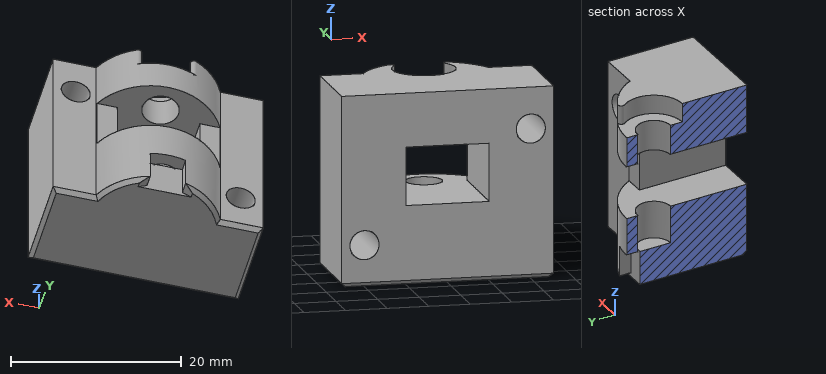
import cadquery as cq
import math

width = 25.5
height = 23.0
block_depth = 11.5
bottom_chamfer = 0.5

total_depth = 16.22
dome_half_width = 7.52
dome_rise = total_depth - block_depth
dome_radius = (dome_half_width**2 + dome_rise**2) / (2 * dome_rise)

window_width = 10.0
window_height = 6.99
window_center_z = 13.0
gap_floor_y = block_depth + 0.15

mount_diameter = 3.5
mount_offset_x = 10.0
mount_low_z = 5.0
mount_high_z = 18.0

bore_center_y = block_depth + 1.02
bore_diameter = 4.39
seat_radius = 3.77
seat_depth = 2.5
horn_fillet = 0.43

notch_width = 4.28
notch_depth = 4.55
notch_flare = 1.07
notch_floor_y = block_depth + 2.93


def make_body():
    """Block and dome in one profile, chamfered around the bottom."""
    return (
        cq.Workplane("XY")
        .moveTo(-width / 2, 0)
        .lineTo(width / 2, 0)
        .lineTo(width / 2, block_depth)
        .lineTo(dome_half_width, block_depth)
        .threePointArc((0, total_depth), (-dome_half_width, block_depth))
        .lineTo(-width / 2, block_depth)
        .close()
        .extrude(height)
        .faces("<Z")
        .chamfer(bottom_chamfer)
    )


def make_window():
    """Opening through the block, widened to a full gap across the dome."""
    opening = cq.Workplane("XY").box(window_width, total_depth, window_height, centered=(True, False, True))
    gap = (
        cq.Workplane("XY")
        .box(width, total_depth - gap_floor_y, window_height, centered=(True, False, True))
        .translate((0, gap_floor_y, 0))
    )
    return opening.union(gap).translate((0, 0, window_center_z))


def make_mount_hole(x, z):
    """Round hole along Y, through the whole depth."""
    return cq.Workplane("XZ", origin=(x, 0, z)).circle(mount_diameter / 2).extrude(-total_depth)


def make_seat():
    """Round seat whose mouth flares into the dome through rounded horn tips."""
    dome_center_y = total_depth - dome_radius
    center_distance = bore_center_y - dome_center_y

    to_dome = dome_radius - horn_fillet
    to_seat = seat_radius + horn_fillet
    rise = (to_dome**2 - to_seat**2 + center_distance**2) / (2 * center_distance)
    tip_x = math.sqrt(to_dome**2 - rise**2)
    tip_y = dome_center_y + rise

    seat_x = tip_x * seat_radius / to_seat
    seat_y = bore_center_y + (tip_y - bore_center_y) * seat_radius / to_seat
    rim_x = tip_x * dome_radius / to_dome
    rim_y = dome_center_y + rise * dome_radius / to_dome
    inner_x = tip_x - horn_fillet
    mouth_y = total_depth + horn_fillet

    return (
        cq.Workplane("XY", origin=(0, 0, height - seat_depth))
        .moveTo(rim_x, rim_y)
        .threePointArc((inner_x, tip_y), (seat_x, seat_y))
        .threePointArc((0, bore_center_y - seat_radius), (-seat_x, seat_y))
        .threePointArc((-inner_x, tip_y), (-rim_x, rim_y))
        .lineTo(-rim_x, mouth_y)
        .lineTo(rim_x, mouth_y)
        .close()
        .extrude(seat_depth)
    )


def make_bore():
    """Vertical hole from the top down to the notch."""
    return (
        cq.Workplane("XY", origin=(0, bore_center_y, notch_depth))
        .circle(bore_diameter / 2)
        .extrude(height - notch_depth)
    )


def make_notch():
    """Notch in the lower end of the dome, its sides flaring out over the chamfer."""
    mouth_half_width = notch_width / 2 + notch_flare
    return (
        cq.Workplane("XZ", origin=(0, notch_floor_y, 0))
        .moveTo(-mouth_half_width, 0)
        .lineTo(mouth_half_width, 0)
        .lineTo(notch_width / 2, bottom_chamfer)
        .lineTo(notch_width / 2, notch_depth)
        .lineTo(-notch_width / 2, notch_depth)
        .lineTo(-notch_width / 2, bottom_chamfer)
        .close()
        .extrude(notch_floor_y - total_depth)
    )


result = (
    make_body()
    .cut(make_window())
    .cut(make_mount_hole(-mount_offset_x, mount_low_z))
    .cut(make_mount_hole(mount_offset_x, mount_high_z))
    .cut(make_seat())
    .cut(make_bore())
    .cut(make_notch())
)